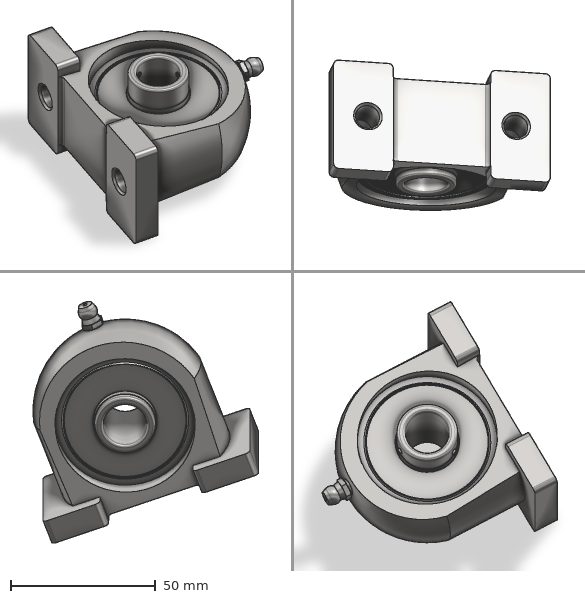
import cadquery as cq
import math


SHAFT_HEIGHT = 30.2
BASE_LENGTH = 76.0
PAD_LENGTH = 20.9
PAD_HEIGHT = 40.0
PAD_THICKNESS = 8.8
PAD_CORNER_RADIUS = 1.75
RECESS_DEPTH = 1.7
RECESS_LENGTH = 34.0
RECESS_FILLET = 1.5
CROWN_RADIUS = 31.8
CROWN_START = 8.0
BARREL_RADIUS = math.sqrt(CROWN_RADIUS**2 - CROWN_START**2)
FACE_HALF_WIDTH = 15.4
FACE_DRAFT = 5.0
POCKET_DIAMETER = 48.27
BOLT_SPACING = 52.0
TAP_DRILL_DIAMETER = 8.38
TAP_MOUTH_DIAMETER = 10.0
TAP_DEPTH = 15.0
DRILL_POINT_ANGLE = 118.0

BEARING_DIAMETER = 47.0
SEAT_HALF_WIDTH = 8.5
OUTER_RING_HALF_WIDTH = 9.0
OUTER_RING_FACE_RADIUS = 21.35
SEAL_RADIUS = 21.0
SEAL_HALF_WIDTH = 8.5
SEAL_GROOVE_DEPTH = 0.2
SEAL_BORE_RADIUS = 11.1
BORE_DIAMETER = 15.0
INNER_RING_DIAMETER = 21.0
LIP_TOP_DIAMETER = 21.3
LIP_BOTTOM_DIAMETER = 21.9
LIP_TOP = 10.0
INNER_RING_TOP = 18.3
INNER_RING_BOTTOM = -12.7
INNER_RING_FILLET = 0.9
SCREW_DIAMETER = 2.0
SCREW_TIP_RADIUS = 11.3
SCREW_LEVEL = 13.4
SCREW_BORE_GAP = 0.3
SOCKET_FLATS = 0.9
SOCKET_DEPTH = 1.0
SCREW_ANGLES = (90.0, 210.0)

NIPPLE_LEVEL = 4.8
SHANK_DIAMETER = 6.0
SHANK_END = 56.0
HEX_FLATS = 7.0
HEX_START = 62.0
HEX_END = 64.0
HEX_CHAMFER_ANGLE = 30.0
NECK_BASE_DIAMETER = 6.6
NECK_DIAMETER = 5.6
NECK_END = 65.95
HEAD_DIAMETER = 6.7
HEAD_MIDDLE = 67.5
HEAD_SHOULDER_DIAMETER = 6.0
HEAD_SHOULDER = 69.05
HEAD_TIP_DIAMETER = 4.92
HEAD_END = 70.35
BALL_DIAMETER = 1.57
NIPPLE_TIP = 70.8


def barrel_and_crown():
    """Round body about the Y axis: a cylinder that runs into a spherical crown."""
    start_angle = math.asin(CROWN_START / CROWN_RADIUS)
    middle_angle = (start_angle + math.pi / 2) / 2
    crown_middle = (
        CROWN_RADIUS * math.cos(middle_angle),
        SHAFT_HEIGHT + CROWN_RADIUS * math.sin(middle_angle),
    )
    return (
        cq.Workplane("XY")
        .lineTo(BARREL_RADIUS, 0)
        .lineTo(BARREL_RADIUS, SHAFT_HEIGHT + CROWN_START)
        .threePointArc(crown_middle, (0, SHAFT_HEIGHT + CROWN_RADIUS))
        .close()
        .revolve(360, (0, 0, 0), (0, 1, 0))
    )


def drafted_wedge():
    """Wedge between the two drafted flat faces of the body."""
    top = SHAFT_HEIGHT + CROWN_RADIUS
    top_half_width = FACE_HALF_WIDTH - top * math.tan(math.radians(FACE_DRAFT))
    return (
        cq.Workplane("YZ")
        .polyline([
            (0, -FACE_HALF_WIDTH),
            (top, -top_half_width),
            (top, top_half_width),
            (0, FACE_HALF_WIDTH),
        ])
        .close()
        .extrude(BASE_LENGTH / 2, both=True)
    )


def pad(side):
    """Mounting pad on one side, with its rounded corners."""
    return (
        cq.Workplane("XY")
        .box(PAD_LENGTH, PAD_THICKNESS, PAD_HEIGHT, centered=(True, False, True))
        .edges("|Y")
        .fillet(PAD_CORNER_RADIUS)
        .translate((side * (BASE_LENGTH - PAD_LENGTH) / 2, 0, 0))
    )


def recess():
    """Shallow slot under the body between the pads, with rounded upper corners."""
    return (
        cq.Workplane("XY")
        .box(RECESS_LENGTH, 2 * RECESS_DEPTH, PAD_HEIGHT)
        .edges("|Z and >Y")
        .fillet(RECESS_FILLET)
    )


def tapped_hole(side):
    """Blind hole with a countersunk mouth and a conical drill point."""
    drill_radius = TAP_DRILL_DIAMETER / 2
    mouth_radius = TAP_MOUTH_DIAMETER / 2
    point_depth = drill_radius / math.tan(math.radians(DRILL_POINT_ANGLE / 2))
    return (
        cq.Workplane("XY")
        .polyline([
            (0, 0),
            (mouth_radius, 0),
            (drill_radius, mouth_radius - drill_radius),
            (drill_radius, TAP_DEPTH),
            (0, TAP_DEPTH + point_depth),
        ])
        .close()
        .revolve(360, (0, 0, 0), (0, 1, 0))
        .translate((side * BOLT_SPACING / 2, 0, 0))
    )


def bearing_space():
    """Spherical seat and the round pockets that open it to both faces."""
    space = cq.Workplane("XY").sphere(BEARING_DIAMETER / 2)
    for direction in (1, -1):
        pocket = (
            cq.Workplane("XY")
            .workplane(offset=direction * SEAT_HALF_WIDTH)
            .circle(POCKET_DIAMETER / 2)
            .extrude(direction * PAD_HEIGHT)
        )
        space = space.union(pocket)
    return space.translate((0, SHAFT_HEIGHT, 0))


def make_housing():
    housing = barrel_and_crown().intersect(drafted_wedge())
    for side in (1, -1):
        housing = housing.union(pad(side))
    housing = housing.cut(recess())
    for side in (1, -1):
        housing = housing.cut(tapped_hole(side))
    nipple_hole = (
        cq.Workplane("XZ", origin=(0, SHANK_END, NIPPLE_LEVEL))
        .circle(SHANK_DIAMETER / 2)
        .extrude(SHANK_END - HEX_END)
    )
    return housing.cut(bearing_space()).cut(nipple_hole)


def make_bearing():
    """Insert bearing with its wide inner ring, seals and set screws as one body."""
    sphere_radius = BEARING_DIAMETER / 2
    sphere_edge = math.sqrt(sphere_radius**2 - SEAT_HALF_WIDTH**2)
    groove_floor = SEAL_HALF_WIDTH - SEAL_GROOVE_DEPTH
    bore = BORE_DIAMETER / 2
    ring = INNER_RING_DIAMETER / 2
    profile = (
        cq.Workplane("XZ")
        .moveTo(bore, INNER_RING_BOTTOM)
        .lineTo(ring, INNER_RING_BOTTOM)
        .lineTo(ring, -LIP_TOP)
        .lineTo(LIP_TOP_DIAMETER / 2, -LIP_TOP)
        .lineTo(LIP_BOTTOM_DIAMETER / 2, -groove_floor)
        .lineTo(SEAL_BORE_RADIUS, -groove_floor)
        .lineTo(SEAL_BORE_RADIUS, -SEAL_HALF_WIDTH)
        .lineTo(SEAL_RADIUS, -SEAL_HALF_WIDTH)
        .lineTo(SEAL_RADIUS, -groove_floor)
        .lineTo(OUTER_RING_FACE_RADIUS, -groove_floor)
        .lineTo(OUTER_RING_FACE_RADIUS, -OUTER_RING_HALF_WIDTH)
        .lineTo(sphere_edge, -SEAT_HALF_WIDTH)
        .threePointArc((sphere_radius, 0), (sphere_edge, SEAT_HALF_WIDTH))
        .lineTo(OUTER_RING_FACE_RADIUS, OUTER_RING_HALF_WIDTH)
        .lineTo(OUTER_RING_FACE_RADIUS, groove_floor)
        .lineTo(SEAL_RADIUS, groove_floor)
        .lineTo(SEAL_RADIUS, SEAL_HALF_WIDTH)
        .lineTo(SEAL_BORE_RADIUS, SEAL_HALF_WIDTH)
        .lineTo(SEAL_BORE_RADIUS, groove_floor)
        .lineTo(LIP_BOTTOM_DIAMETER / 2, groove_floor)
        .lineTo(LIP_TOP_DIAMETER / 2, LIP_TOP)
        .lineTo(ring, LIP_TOP)
        .lineTo(ring, INNER_RING_TOP)
        .lineTo(bore, INNER_RING_TOP)
        .close()
    )
    bearing = (
        profile.revolve(360, (0, 0, 0), (0, 1, 0))
        .faces("<Z or >Z")
        .edges()
        .fillet(INNER_RING_FILLET)
    )
    for angle in SCREW_ANGLES:
        bearing = bearing.cut(screw_hole(angle)).union(set_screw(angle))
    return bearing.translate((0, SHAFT_HEIGHT, 0))


def around_shaft(workplane, angle):
    """Turn a shape from the X direction to the given angle about the shaft axis."""
    return workplane.rotate((0, 0, 0), (0, 0, 1), angle)


def screw_hole(angle):
    """Radial hole from the bore through one side of the inner ring."""
    hole = (
        cq.Workplane("YZ", origin=(0, 0, SCREW_LEVEL))
        .circle(SCREW_DIAMETER / 2)
        .extrude(SCREW_TIP_RADIUS)
    )
    return around_shaft(hole, angle)


def set_screw(angle):
    """Set screw that fills its hole except near the bore, with a hexagon socket outside."""
    start = BORE_DIAMETER / 2 + SCREW_BORE_GAP
    screw = (
        cq.Workplane("YZ", origin=(start, 0, SCREW_LEVEL))
        .circle(SCREW_DIAMETER / 2)
        .extrude(SCREW_TIP_RADIUS - start)
        .faces(">X")
        .workplane()
        .polygon(6, SOCKET_FLATS, circumscribed=True)
        .cutBlind(-SOCKET_DEPTH)
    )
    return around_shaft(screw, angle)


def make_nipple():
    """Grease nipple: shank, hexagon, waisted neck, rounded head and a check ball at the tip."""
    head = (
        cq.Workplane("XY")
        .moveTo(0, SHANK_END)
        .lineTo(SHANK_DIAMETER / 2, SHANK_END)
        .lineTo(SHANK_DIAMETER / 2, HEX_END)
        .lineTo(NECK_BASE_DIAMETER / 2, HEX_END)
        .lineTo(NECK_DIAMETER / 2, NECK_END)
        .threePointArc((HEAD_DIAMETER / 2, HEAD_MIDDLE), (HEAD_SHOULDER_DIAMETER / 2, HEAD_SHOULDER))
        .lineTo(HEAD_TIP_DIAMETER / 2, HEAD_END)
        .lineTo(0, HEAD_END)
        .close()
        .revolve(360, (0, 0, 0), (0, 1, 0))
    )
    hexagon = (
        cq.Workplane("XZ", origin=(0, HEX_START, 0))
        .polygon(6, HEX_FLATS, circumscribed=True)
        .extrude(HEX_START - HEX_END)
    )
    flat_radius = HEX_FLATS / 2
    corner_radius = flat_radius / math.cos(math.pi / 6)
    chamfer = (corner_radius - flat_radius) * math.tan(math.radians(HEX_CHAMFER_ANGLE))
    chamfered_blank = (
        cq.Workplane("XY")
        .polyline([
            (0, HEX_START),
            (flat_radius, HEX_START),
            (corner_radius, HEX_START + chamfer),
            (corner_radius, HEX_END),
            (0, HEX_END),
        ])
        .close()
        .revolve(360, (0, 0, 0), (0, 1, 0))
    )
    hexagon = hexagon.intersect(chamfered_blank)
    ball_radius = BALL_DIAMETER / 2
    ball = cq.Workplane("XY").sphere(ball_radius).translate((0, NIPPLE_TIP - ball_radius, 0))
    return head.union(hexagon).union(ball).translate((0, 0, NIPPLE_LEVEL))


housing = make_housing()
bearing = make_bearing()
nipple = make_nipple()

result = cq.Compound.makeCompound([body.solids().val() for body in (housing, bearing, nipple)])